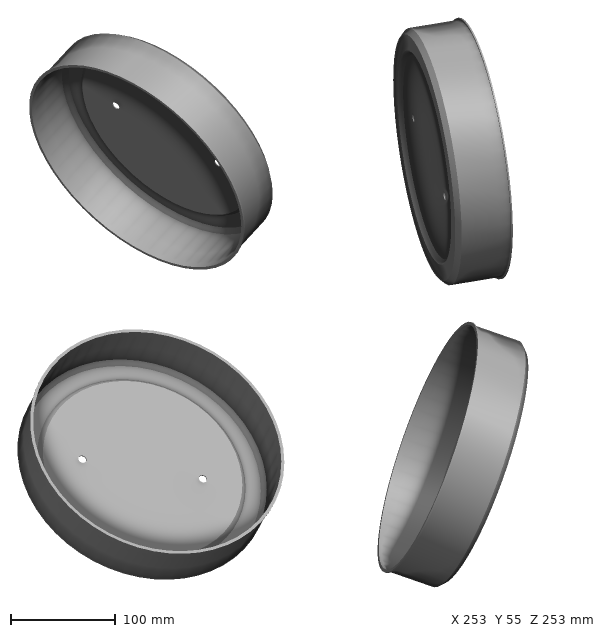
import cadquery as cq

depth = 55.0
rim_radius = 253 / 2
wall_outer_radius = 249.0 / 2
wall_inner_radius = 247.0 / 2
sheet = wall_outer_radius - wall_inner_radius
rim_thickness = 1.5

bevel = 5.0
inner_bevel = 4.5

panel_radius = 99.2
panel_foot_radius = 103.7
panel_rise = panel_foot_radius - panel_radius

hole_diameter = 8.0
hole_spacing = 120.0

front_y = -depth / 2
back_y = depth / 2
floor_y = back_y - sheet


def make_pan():
    """Revolve the sheet section, drawn as (radius, y), around the Y axis."""
    section = [
        (0, floor_y - panel_rise),
        (panel_radius, floor_y - panel_rise),
        (panel_foot_radius, floor_y),
        (wall_inner_radius - inner_bevel, floor_y),
        (wall_inner_radius, floor_y - inner_bevel),
        (wall_inner_radius, front_y),
        (rim_radius, front_y),
        (rim_radius, front_y + rim_thickness),
        (wall_outer_radius, front_y + rim_thickness),
        (wall_outer_radius, back_y - bevel),
        (wall_outer_radius - bevel, back_y),
        (panel_foot_radius, back_y),
        (panel_radius, back_y - panel_rise),
        (0, back_y - panel_rise),
    ]
    return cq.Workplane("XY").polyline(section).close().revolve(360, (0, 0, 0), (0, 1, 0))


def make_holes():
    """Cylinders along Y, one on each side of the axis."""
    half_spacing = hole_spacing / 2
    return (
        cq.Workplane("XZ")
        .pushPoints([(-half_spacing, 0), (half_spacing, 0)])
        .circle(hole_diameter / 2)
        .extrude(depth / 2, both=True)
    )


result = make_pan().cut(make_holes())